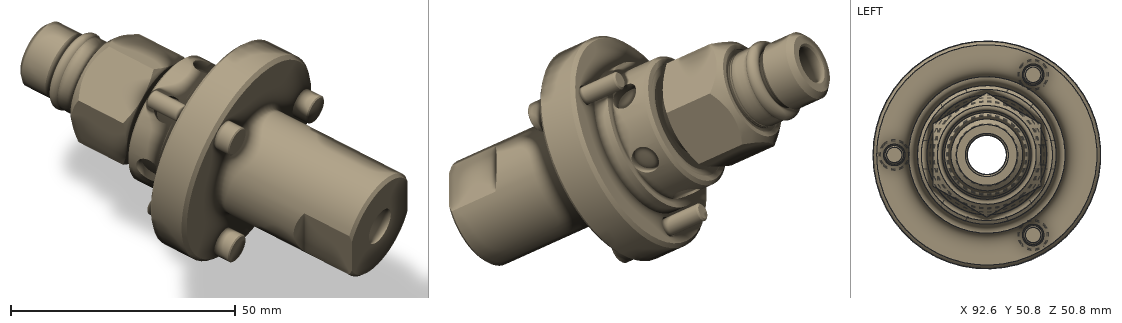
import cadquery as cq
import math

OVERALL_LENGTH = 92.6
BORE_DIA = 8.7

NOSE_DIA = 16.0
NOSE_FACE_DIA = 13.5
NOSE_CHAMFER = (NOSE_DIA - NOSE_FACE_DIA) / 2
NOSE_END = 8.9
BORE_MOUTH_DIA = 9.6
BORE_MOUTH_CHAMFER = (BORE_MOUTH_DIA - BORE_DIA) / 2
SEAL_GROOVE_DIA = 13.9
SEAL_X = 10.6
SEAL_SECTION_RADIUS = 1.5
SEAL_DIA = 18.9
SHOULDER_START = 10.7
SHOULDER_DIA = 18.0
NECK_START = 15.4
NECK_DIA = 17.8
NECK_GROOVE_DIA = 17.4
NECK_GROOVE_WIDTH = 0.3
NECK_GROOVE_COUNT = 2
HEX_START = 16.5
HEX_END = 32.5
HEX_SIDES = 6
HEX_FLATS = 24.1
HEX_FRONT_FACE_DIA = 22.0
HEX_RELIEF_DIA = 19.8
HEX_RELIEF_DEPTH = 0.3
HEX_REAR_CHAMFER_ANGLE = 30.0
SHAFT_DIA = 16.0

COLLAR_START = 34.6
COLLAR_DIA = 30.9
COLLAR_CHAMFER_LENGTH = 0.65
COLLAR_CHAMFER_DEPTH = 0.8
PILOT_START = 43.8
PILOT_DIA = 34.9
FLANGE_START = 47.5
FLANGE_END = 57.2
FLANGE_DIA = 50.8
FLANGE_CHAMFER = 0.8
BODY_DIA = 25.5
BODY_ROOT_DIA = 28.1
BODY_END_CHAMFER = 0.7
SHAFT_SEAT_END = FLANGE_END

FLATS_WIDTH = 22.0
FLATS_START = 79.7

RECESS_DIA = 26.8
RECESS_DEPTH = 0.9
RING_INNER_DIA = 23.6
RING_FACE_DEPTH = 0.2
RING_GAP = 4.4

DRAIN_DIA = 6.4
DRAIN_X = 40.6
DRAIN_COUNT = 6
DRAIN_FLOOR_DIA = 26.8

SCREW_DIA = 4.2
SCREW_HOLE_DIA = 4.8
SCREW_HEAD_DIA = 6.85
SCREW_CIRCLE_RADIUS = 20.65
SCREW_COUNT = 3
SCREW_TIP = 38.0
SCREW_HEAD_END = 61.2
SCREW_TIP_CHAMFER = 0.4
SCREW_HEAD_CHAMFER = 0.3


def rod(diameter, start, end):
    """Cylinder on the X axis between two x positions."""
    return cq.Workplane("YZ").workplane(offset=start).circle(diameter / 2).extrude(end - start)


def revolve_about_x(profile):
    """Solid of revolution about X, from an outline of X and radius in the XY plane."""
    return profile.close().revolve(360, (0, 0, 0), (1, 0, 0))




def nose():
    tip = rod(NOSE_DIA, 0, NOSE_END).faces("<X or >X").chamfer(NOSE_CHAMFER)
    return tip.union(rod(SEAL_GROOVE_DIA, NOSE_END - NOSE_CHAMFER, SHOULDER_START))


def seal_ring():
    """Round-section ring seated between the nose and the shoulder."""
    section_radius_from_axis = SEAL_DIA / 2 - SEAL_SECTION_RADIUS
    section = cq.Workplane("XY").center(SEAL_X, section_radius_from_axis).circle(SEAL_SECTION_RADIUS)
    return section.revolve(360, (0, -section_radius_from_axis, 0), (1, -section_radius_from_axis, 0))


def neck():
    shoulder = rod(SHOULDER_DIA, SHOULDER_START, NECK_START)
    ribbed = rod(NECK_DIA, NECK_START, HEX_START + HEX_RELIEF_DEPTH)
    for i in range(NECK_GROOVE_COUNT):
        start = NECK_START + (2 * i + 1) * NECK_GROOVE_WIDTH
        end = start + NECK_GROOVE_WIDTH
        ribbed = ribbed.cut(rod(NECK_DIA, start, end).cut(rod(NECK_GROOVE_DIA, start, end)))
    return shoulder.union(ribbed)


def hexagon():
    """Hexagon with corners up and down, turned conically at both ends."""
    corner_radius = HEX_FLATS / math.sqrt(3)
    front_chamfer = corner_radius - HEX_FRONT_FACE_DIA / 2
    rear_radius = HEX_FLATS / 2
    rear_chamfer = (corner_radius - rear_radius) * math.tan(math.radians(HEX_REAR_CHAMFER_ANGLE))
    corner_angles = [2 * math.pi * i / HEX_SIDES for i in range(HEX_SIDES)]
    corners = [(corner_radius * math.sin(a), corner_radius * math.cos(a)) for a in corner_angles]
    prism = cq.Workplane("YZ").workplane(offset=HEX_START).polyline(corners).close()
    prism = prism.extrude(HEX_END - HEX_START)
    turned = revolve_about_x(
        cq.Workplane("XY")
        .moveTo(HEX_START, 0)
        .lineTo(HEX_START, HEX_FRONT_FACE_DIA / 2)
        .lineTo(HEX_START + front_chamfer, corner_radius)
        .lineTo(HEX_END - rear_chamfer, corner_radius)
        .lineTo(HEX_END, rear_radius)
        .lineTo(HEX_END, 0)
    )
    relief = rod(HEX_RELIEF_DIA, HEX_START, HEX_START + HEX_RELIEF_DEPTH)
    return prism.intersect(turned).cut(relief)


def make_rotor():
    shaft = rod(SHAFT_DIA, HEX_END, SHAFT_SEAT_END)
    rotor = nose().union(seal_ring()).union(neck()).union(hexagon()).union(shaft)
    rotor = rotor.cut(rod(BORE_DIA, 0, SHAFT_SEAT_END))
    mouth = revolve_about_x(
        cq.Workplane("XY")
        .moveTo(0, 0)
        .lineTo(0, BORE_MOUTH_DIA / 2)
        .lineTo(BORE_MOUTH_CHAMFER, BORE_DIA / 2)
        .lineTo(BORE_MOUTH_CHAMFER, 0)
    )
    return rotor.cut(mouth)




def turned_housing():
    """Collar, pilot, flange and body as one turned shape, with a concave fillet behind the flange."""
    root_fillet = (BODY_ROOT_DIA - BODY_DIA) / 2
    arc_middle = root_fillet * (1 - math.sqrt(0.5))
    return revolve_about_x(
        cq.Workplane("XY")
        .moveTo(COLLAR_START, 0)
        .lineTo(COLLAR_START, COLLAR_DIA / 2 - COLLAR_CHAMFER_DEPTH)
        .lineTo(COLLAR_START + COLLAR_CHAMFER_LENGTH, COLLAR_DIA / 2)
        .lineTo(PILOT_START, COLLAR_DIA / 2)
        .lineTo(PILOT_START, PILOT_DIA / 2)
        .lineTo(FLANGE_START, PILOT_DIA / 2)
        .lineTo(FLANGE_START, FLANGE_DIA / 2 - FLANGE_CHAMFER)
        .lineTo(FLANGE_START + FLANGE_CHAMFER, FLANGE_DIA / 2)
        .lineTo(FLANGE_END - FLANGE_CHAMFER, FLANGE_DIA / 2)
        .lineTo(FLANGE_END, FLANGE_DIA / 2 - FLANGE_CHAMFER)
        .lineTo(FLANGE_END, BODY_ROOT_DIA / 2)
        .threePointArc(
            (FLANGE_END + arc_middle, BODY_DIA / 2 + arc_middle),
            (FLANGE_END + root_fillet, BODY_DIA / 2),
        )
        .lineTo(OVERALL_LENGTH - BODY_END_CHAMFER, BODY_DIA / 2)
        .lineTo(OVERALL_LENGTH, BODY_DIA / 2 - BODY_END_CHAMFER)
        .lineTo(OVERALL_LENGTH, 0)
    )


def wrench_flats():
    """Material removed for both flats, with 45 degree run-outs towards the flange."""
    flat_y = FLATS_WIDTH / 2
    body_y = BODY_DIA / 2
    side = (
        cq.Workplane("XY")
        .moveTo(FLATS_START, flat_y)
        .lineTo(OVERALL_LENGTH, flat_y)
        .lineTo(OVERALL_LENGTH, body_y)
        .lineTo(FLATS_START - (body_y - flat_y), body_y)
        .close()
        .extrude(body_y, both=True)
    )
    return side.union(side.mirror("XZ"))


def drain_holes():
    """Radial holes that stop at a cylinder coaxial with the collar."""
    holes = cq.Workplane("XY")
    for i in range(DRAIN_COUNT):
        hole = cq.Workplane("XZ").center(DRAIN_X, 0).circle(DRAIN_DIA / 2).extrude(COLLAR_DIA / 2)
        holes = holes.union(hole.rotate((0, 0, 0), (1, 0, 0), i * 360 / DRAIN_COUNT))
    return holes.cut(rod(DRAIN_FLOOR_DIA, COLLAR_START, FLANGE_START))


def retaining_ring():
    """Split ring in the collar recess, open on the -Y side."""
    start = COLLAR_START + RING_FACE_DEPTH
    end = COLLAR_START + RECESS_DEPTH
    ring = rod(RECESS_DIA, start, end).cut(rod(RING_INNER_DIA, start, end))
    gap = cq.Workplane("XY").box(end - start, RECESS_DIA, RING_GAP, centered=(False, False, True))
    return ring.cut(gap.translate((start, -RECESS_DIA, 0)))


def on_screw_circle(shape):
    """Copies of an on-axis shape, moved to the screw places; the first one lies on +Y."""
    placed = cq.Workplane("XY")
    for i in range(SCREW_COUNT):
        copy = shape.translate((0, SCREW_CIRCLE_RADIUS, 0))
        placed = placed.union(copy.rotate((0, 0, 0), (1, 0, 0), i * 360 / SCREW_COUNT))
    return placed


def screw():
    """Cap screw whose head rests on the rear face of the flange."""
    head = rod(SCREW_HEAD_DIA, FLANGE_END, SCREW_HEAD_END).faces(">X").chamfer(SCREW_HEAD_CHAMFER)
    shank = rod(SCREW_DIA, SCREW_TIP, FLANGE_END).faces("<X").chamfer(SCREW_TIP_CHAMFER)
    return head.union(shank)


def make_housing():
    housing = turned_housing().cut(wrench_flats()).cut(drain_holes())
    housing = housing.cut(rod(RECESS_DIA, COLLAR_START, COLLAR_START + RECESS_DEPTH))
    housing = housing.cut(rod(SHAFT_DIA, COLLAR_START, SHAFT_SEAT_END))
    housing = housing.cut(rod(BORE_DIA, SHAFT_SEAT_END, OVERALL_LENGTH))
    housing = housing.union(retaining_ring())
    housing = housing.cut(on_screw_circle(rod(SCREW_HOLE_DIA, FLANGE_START, FLANGE_END)))
    return housing.union(on_screw_circle(screw()))


rotor = make_rotor()
housing = make_housing()
result = cq.Compound.makeCompound([rotor.solids().val(), housing.solids().val()])